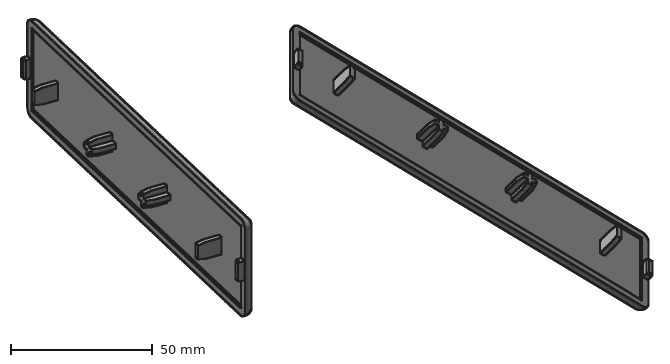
import cadquery as cq

length = 160.0
height = 40.0
thickness = 4.0
edge_radius = 3.2

rim_width = 3.0
recess_depth = 1.0

total_depth = 12.5
peg_reach = total_depth - thickness
peg_pitch = length / 4
cross_positions = (-peg_pitch / 2, peg_pitch / 2)
blade_positions = (-1.5 * peg_pitch, 1.5 * peg_pitch)
blade_thickness = 2.0
peg_diameter = 7.2
peg_radius = peg_diameter / 2
tip_length = 3.2
tip_inset = 0.6

tab_width = 8.0
tab_thickness = 2.2
tab_reach = 2.7
tab_edge_gap = 0.3
tab_chamfer_length = 0.8
tab_chamfer_inset = 0.5


def make_plate():
    plate = cq.Workplane("XY").box(length, thickness, height).translate((0, thickness / 2, 0))
    plate = plate.edges("|Y").fillet(edge_radius)
    plate = plate.faces(">Y").edges().fillet(edge_radius)
    recess = cq.Workplane("XY").box(length - 2 * rim_width, 2 * recess_depth, height - 2 * rim_width)
    return plate.cut(recess)


def make_peg_envelope():
    """Round post along Y with a conical tip, which bounds the outer sides of a peg."""
    profile = [
        (0, recess_depth),
        (peg_radius, recess_depth),
        (peg_radius, tip_length - peg_reach),
        (peg_radius - tip_inset, -peg_reach),
        (0, -peg_reach),
    ]
    return cq.Workplane("XY").polyline(profile).close().revolve(360, (0, 0, 0), (0, 1, 0))


def make_blade():
    """Flat peg, wide in Z: a slice of the round envelope."""
    slab = cq.Workplane("XY").box(blade_thickness, 2 * total_depth, peg_diameter)
    return make_peg_envelope().intersect(slab)


def make_cross():
    blade = make_blade()
    return blade.union(blade.rotate((0, 0, 0), (0, 1, 0), 90))


def make_tab():
    """Tab at the +X end, chamfered on the inner side and both Z ends of its tip."""
    outer_x = length / 2 - tab_edge_gap
    inner_x = outer_x - tab_thickness
    outline = [
        (outer_x, recess_depth),
        (outer_x, -tab_reach),
        (inner_x + tab_chamfer_inset, -tab_reach),
        (inner_x, tab_chamfer_length - tab_reach),
        (inner_x, recess_depth),
    ]
    tab = cq.Workplane("XY").polyline(outline).close().extrude(tab_width / 2, both=True)
    half_width = tab_width / 2
    end_outline = [
        (recess_depth, -half_width),
        (tab_chamfer_length - tab_reach, -half_width),
        (-tab_reach, tab_chamfer_inset - half_width),
        (-tab_reach, half_width - tab_chamfer_inset),
        (tab_chamfer_length - tab_reach, half_width),
        (recess_depth, half_width),
    ]
    end_taper = cq.Workplane("YZ").polyline(end_outline).close().extrude(length / 2)
    return tab.intersect(end_taper)


result = make_plate()
for x in blade_positions:
    result = result.union(make_blade().translate((x, 0, 0)))
for x in cross_positions:
    result = result.union(make_cross().translate((x, 0, 0)))
tab = make_tab()
result = result.union(tab).union(tab.mirror("YZ"))